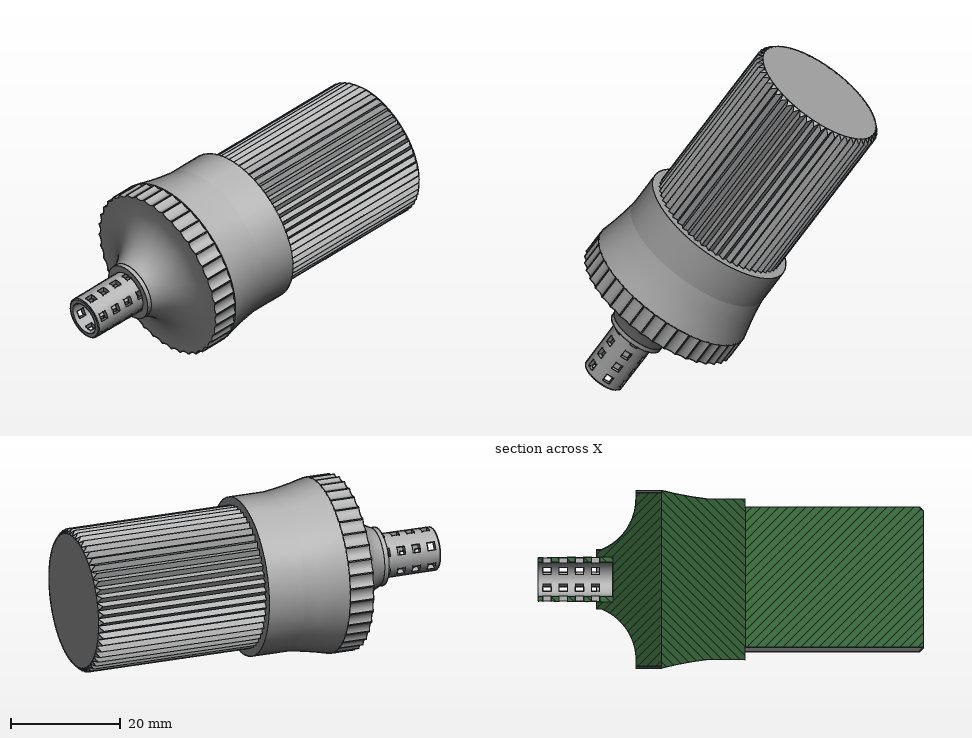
import cadquery as cq
import math

TOTAL_LENGTH = 70.3

KNOB_RADIUS = 13.2
KNOB_TOOTH_COUNT = 53
KNOB_TOOTH_DEPTH = 0.85
KNOB_CHAMFER = 0.8

COLLAR_RADIUS = 14.7
COLLAR_BACK = 37.75
COLLAR_FLARE_START = 30.7
COLLAR_FLARE_SAG = 0.15

CAP_RADIUS = 16.25
CAP_BACK = 22.5
CAP_RIM_FRONT = 17.85
CAP_FLARE_RADIUS = COLLAR_RADIUS
CAP_ARC_RADIUS = 10.0
NECK_RADIUS = 5.4
NECK_FRONT = 10.7

FLUTE_COUNT = 40
FLUTE_RADIUS = 2.0
FLUTE_DEPTH = 0.4

SLEEVE_TIP_RADIUS = 4.0
SLEEVE_ROOT_RADIUS = 4.1
SLEEVE_BORE_RADIUS = 3.1
SLEEVE_TIP_CHAMFER = 0.175
SLEEVE_SEAT_DEPTH = 2.95
SLEEVE_LENGTH = NECK_FRONT + SLEEVE_SEAT_DEPTH

SLOT_SIZE = 1.5
SLOT_PITCH = 2.95
SLOT_FIRST = 1.7
SLOT_ROWS = 4
SLOTS_PER_ROW = 6


def revolve_about_y(profile):
    """Turn a closed (Y, radius) profile around the Y axis."""
    return profile.revolve(360, (0, 0, 0), (1, 0, 0))


def polar_point(radius, angle):
    """Point in the XZ plane, with the angle measured from +Z."""
    return (radius * math.sin(angle), radius * math.cos(angle))


def make_knob():
    root_radius = KNOB_RADIUS - KNOB_TOOTH_DEPTH
    half_pitch = math.pi / KNOB_TOOTH_COUNT
    outline = []
    for tooth in range(KNOB_TOOTH_COUNT):
        ridge_angle = 2 * tooth * half_pitch
        outline.append(polar_point(KNOB_RADIUS, ridge_angle))
        outline.append(polar_point(root_radius, ridge_angle + half_pitch))
    serrated = (
        cq.Workplane("XZ", origin=(0, COLLAR_BACK, 0))
        .polyline(outline)
        .close()
        .extrude(COLLAR_BACK - TOTAL_LENGTH)
    )
    envelope = revolve_about_y(
        cq.Workplane("YZ")
        .moveTo(COLLAR_BACK, 0)
        .lineTo(COLLAR_BACK, KNOB_RADIUS)
        .lineTo(TOTAL_LENGTH - KNOB_CHAMFER, KNOB_RADIUS)
        .lineTo(TOTAL_LENGTH, KNOB_RADIUS - KNOB_CHAMFER)
        .lineTo(TOTAL_LENGTH, 0)
        .close()
    )
    return serrated.intersect(envelope)


def make_collar():
    return revolve_about_y(
        cq.Workplane("YZ")
        .moveTo(CAP_BACK, 0)
        .lineTo(CAP_BACK, CAP_RADIUS)
        .sagittaArc((COLLAR_FLARE_START, COLLAR_RADIUS), -COLLAR_FLARE_SAG)
        .lineTo(COLLAR_BACK, COLLAR_RADIUS)
        .lineTo(COLLAR_BACK, 0)
        .close()
    )


def sleeve_blank():
    """Solid outer form of the sleeve, which is also the shape of its seat in the cap."""
    return revolve_about_y(
        cq.Workplane("YZ")
        .moveTo(0, 0)
        .lineTo(0, SLEEVE_TIP_RADIUS - SLEEVE_TIP_CHAMFER)
        .lineTo(SLEEVE_TIP_CHAMFER, SLEEVE_TIP_RADIUS)
        .lineTo(NECK_FRONT, SLEEVE_ROOT_RADIUS)
        .lineTo(SLEEVE_LENGTH, SLEEVE_ROOT_RADIUS)
        .lineTo(SLEEVE_LENGTH, 0)
        .close()
    )


def make_cap():
    arc_centre = CAP_RIM_FRONT - CAP_ARC_RADIUS
    end_angle = math.acos((CAP_FLARE_RADIUS - NECK_RADIUS) / CAP_ARC_RADIUS)
    mid_angle = (end_angle + math.pi / 2) / 2

    def arc_point(angle):
        return (
            arc_centre + CAP_ARC_RADIUS * math.sin(angle),
            CAP_FLARE_RADIUS - CAP_ARC_RADIUS * math.cos(angle),
        )

    blank = revolve_about_y(
        cq.Workplane("YZ")
        .moveTo(CAP_BACK, 0)
        .lineTo(CAP_BACK, CAP_RADIUS)
        .lineTo(CAP_RIM_FRONT, CAP_RADIUS)
        .lineTo(CAP_RIM_FRONT, CAP_FLARE_RADIUS)
        .threePointArc(arc_point(mid_angle), arc_point(end_angle))
        .lineTo(NECK_FRONT, NECK_RADIUS)
        .lineTo(NECK_FRONT, 0)
        .close()
    )

    flute_circle = CAP_RADIUS - FLUTE_DEPTH + FLUTE_RADIUS
    cap = blank.cut(sleeve_blank())
    for flute in range(FLUTE_COUNT):
        flute_x, flute_z = polar_point(flute_circle, 2 * math.pi * flute / FLUTE_COUNT)
        cap = cap.cut(
            cq.Workplane("XZ", origin=(flute_x, CAP_RIM_FRONT, flute_z))
            .circle(FLUTE_RADIUS)
            .extrude(CAP_RIM_FRONT - CAP_BACK)
        )
    return cap


def make_sleeve():
    sleeve = sleeve_blank().cut(
        cq.Workplane("XZ").circle(SLEEVE_BORE_RADIUS).extrude(-SLEEVE_LENGTH)
    )
    slot_reach = 2 * SLEEVE_ROOT_RADIUS
    for row in range(SLOT_ROWS):
        slot = (
            cq.Workplane("XY", origin=(0, SLOT_FIRST + row * SLOT_PITCH, 0))
            .rect(SLOT_SIZE, SLOT_SIZE)
            .extrude(slot_reach)
        )
        for index in range(SLOTS_PER_ROW):
            angle = 360 * index / SLOTS_PER_ROW
            sleeve = sleeve.cut(slot.rotate((0, 0, 0), (0, 1, 0), angle))
    return sleeve


knob = make_knob()
collar = make_collar()
cap = make_cap()
sleeve = make_sleeve()

result = cq.Compound.makeCompound([knob.val(), collar.val(), cap.val(), sleeve.val()])